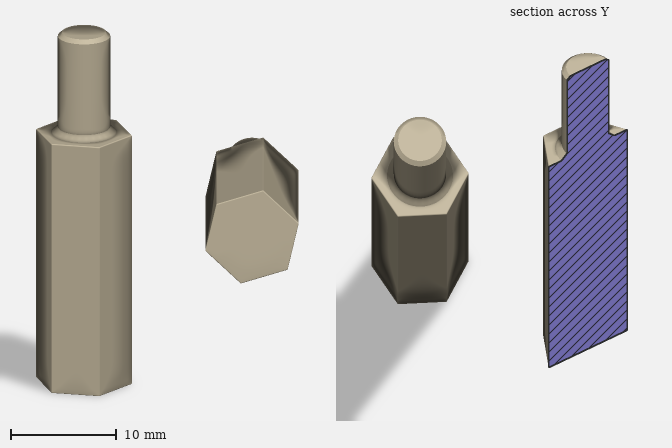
import cadquery as cq
import math

total_height = 35.0
stud_length = 10.0
body_height = total_height - stud_length

across_flats = 8.0
across_corners = across_flats / math.cos(math.radians(30))
edge_radius = 0.1

stud_radius = 2.5
tip_radius = 2.05
tip_bevel_height = 0.35
foot_radius = 3.1
foot_height = 0.55


def make_body():
    """Hexagonal prism with all of its edges slightly rounded."""
    prism = cq.Workplane("XY").polygon(6, across_corners).extrude(body_height)
    return prism.edges().fillet(edge_radius)


def make_stud():
    """Stud revolved about Z, rooted inside the body so the two fuse fully."""
    root_depth = 0.35
    root_z = body_height - root_depth
    profile = [
        (0, root_z),
        (foot_radius, root_z),
        (foot_radius, body_height),
        (stud_radius, body_height + foot_height),
        (stud_radius, total_height - tip_bevel_height),
        (tip_radius, total_height),
        (0, total_height),
    ]
    return cq.Workplane("XZ").polyline(profile).close().revolve(360, (0, 0), (0, 1))


result = make_body().union(make_stud())